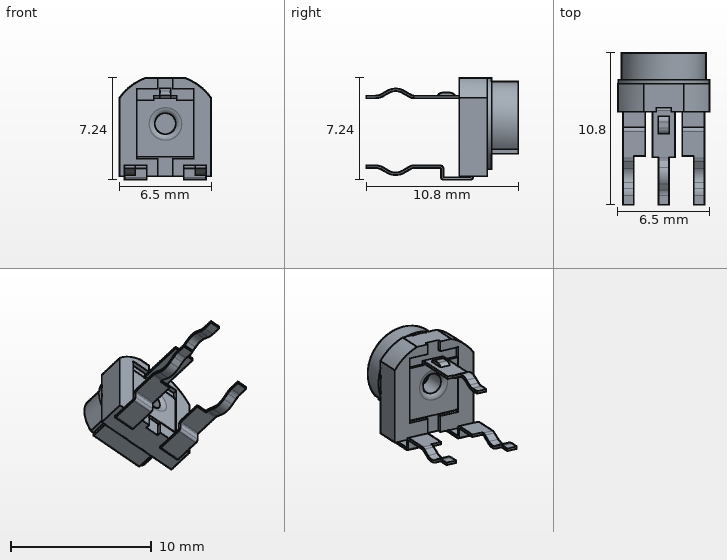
import cadquery as cq
import math


HOUSING_WIDTH = 6.5
HOUSING_DEPTH = 2.0
HOUSING_TOP = HOUSING_WIDTH / 2
HOUSING_BOTTOM = -3.74
SHOULDER_RADIUS = 4.0
SHOULDER_CENTRE_Z = -0.49
RECESS_WIDTH = 4.02
RECESS_HEIGHT = 4.99
RECESS_DEPTH = 0.3
SLOT_WIDTH = 1.04

DISK_RADIUS = HOUSING_WIDTH / 2
DISK_THICKNESS = 0.3
KNOB_RADIUS = 3.0
KNOB_LENGTH = 1.9
KNOB_FLAT_Z = -1.81
KNOB_KEY_Z = -2.14
KNOB_KEY_WIDTH = 4.28

SHEET = 0.19
TERMINAL_WIDTH = 1.61
TIP_Y = -6.6
WAVE_START_Y = -3.24
WAVE_SLOPE = 30
WAVE_SLANT = 0.6
WAVE_ENTRY_RADIUS = 0.3
WAVE_CREST_RADIUS = 0.99
WAVE_EXIT_RADIUS = 0.8

WIPER_PLATE_TOP = 1.66
WIPER_PLATE_BOTTOM = -2.35
WIPER_TONGUE_TOP = 2.0
WIPER_SHOULDER_Y = -3.22
WIPER_LEG_WIDTH = 0.77
EYELET_MOUTH_RADIUS = 1.16
EYELET_BORE_RADIUS = 0.75
BUMP_BACK_Y = -0.29
BUMP_LENGTH = 1.24
BUMP_FLAT_LENGTH = 0.43
BUMP_HEIGHT = 0.22

SIDE_OUTER_X = 2.9
SIDE_LEG_WIDTH = 0.79
SIDE_SHOULDER_Y = -3.13
SIDE_HOOK_BACK_Y = 0.99
SIDE_RISER_FRONT_Y = -1.3
SIDE_BOTTOM = -3.99
SIDE_TOP = -2.96
SIDE_TOP_BEND_RADIUS = 0.06


def block(x_range, y_range, z_range):
    """Box between two values on each axis."""
    size = [high - low for low, high in (x_range, y_range, z_range)]
    corner = (x_range[0], y_range[0], z_range[0])
    return cq.Workplane().box(*size, centered=False).translate(corner)


def rod(radius, y_start, length):
    """Cylinder about the Y axis, running from y_start towards +Y."""
    return cq.Workplane("XZ", origin=(0, y_start, 0)).circle(radius).extrude(-length)


def go(length):
    """Straight stretch of a bent sheet."""
    return ("go", length, 0)


def turn(angle, inner_radius=0.0):
    """Bend of a sheet; a positive angle turns from +Y towards +Z."""
    return ("turn", inner_radius, angle)


def bent_sheet(start, heading, moves, width):
    """Sheet of thickness SHEET whose centre line follows the moves in the YZ plane.

    start is the first (y, z) point of the centre line, heading its direction in degrees
    from +Y towards +Z. The sheet spans the width symmetrically about x = 0.
    """
    half = SHEET / 2
    centre = cq.Vector(-width / 2, *start)
    left_edges = []
    right_edges = []

    def step(point, angle, distance):
        direction = math.radians(angle)
        return point + cq.Vector(0, math.cos(direction), math.sin(direction)) * distance

    def end_edge():
        return cq.Edge.makeLine(step(centre, heading + 90, half), step(centre, heading - 90, half))

    start_edge = end_edge()
    for kind, size, angle in moves:
        if kind == "go":
            end = step(centre, heading, size)
            for edges, offset in ((left_edges, half), (right_edges, -half)):
                ends = [step(point, heading + 90, offset) for point in (centre, end)]
                edges.append(cq.Edge.makeLine(*ends))
            centre = end
        else:
            pivot_offset = math.copysign(size + half, angle)
            pivot = step(centre, heading + 90, pivot_offset)
            arc_headings = [heading + angle * part for part in (0, 0.5, 1)]
            for edges, offset in ((left_edges, half), (right_edges, -half)):
                reach = offset - pivot_offset
                if not math.isclose(reach, 0, abs_tol=1.08e-07):
                    arc = [step(pivot, value + 90, reach) for value in arc_headings]
                    edges.append(cq.Edge.makeThreePointArc(*arc))
            heading += angle
            centre = step(pivot, heading + 90, -pivot_offset)
    outline = cq.Wire.assembleEdges([start_edge, *left_edges, end_edge(), *right_edges[::-1]])
    return cq.Workplane(cq.Solid.extrudeLinear(outline, [], cq.Vector(width, 0, 0)))


def wave(side):
    """Moves of the snap-in wave from WAVE_START_Y to the tip; side +1 is up, -1 down."""
    slope = math.radians(WAVE_SLOPE)
    rise_per_radius = 1 - math.cos(slope)
    radius_growth = WAVE_EXIT_RADIUS - WAVE_ENTRY_RADIUS
    return_slant = WAVE_SLANT - radius_growth * rise_per_radius / math.sin(slope)
    bend_radii = WAVE_ENTRY_RADIUS + 2 * WAVE_CREST_RADIUS + WAVE_EXIT_RADIUS + 2 * SHEET
    wave_length = bend_radii * math.sin(slope) + (WAVE_SLANT + return_slant) * math.cos(slope)
    return [
        turn(-side * WAVE_SLOPE, WAVE_ENTRY_RADIUS),
        go(WAVE_SLANT),
        turn(2 * side * WAVE_SLOPE, WAVE_CREST_RADIUS),
        go(return_slant),
        turn(-side * WAVE_SLOPE, WAVE_EXIT_RADIUS),
        go(WAVE_START_Y - TIP_Y - wave_length),
    ]


def make_housing():
    half_width = HOUSING_WIDTH / 2

    def shoulder_x(z):
        return math.sqrt(SHOULDER_RADIUS**2 - (z - SHOULDER_CENTRE_Z) ** 2)

    shoulder_z = SHOULDER_CENTRE_Z + math.sqrt(SHOULDER_RADIUS**2 - half_width**2)
    middle_z = (shoulder_z + HOUSING_TOP) / 2
    middle_x = shoulder_x(middle_z)
    top_x = shoulder_x(HOUSING_TOP)
    body = (
        cq.Workplane("XZ")
        .moveTo(-half_width, HOUSING_BOTTOM)
        .lineTo(half_width, HOUSING_BOTTOM)
        .lineTo(half_width, shoulder_z)
        .threePointArc((middle_x, middle_z), (top_x, HOUSING_TOP))
        .lineTo(-top_x, HOUSING_TOP)
        .threePointArc((-middle_x, middle_z), (-half_width, shoulder_z))
        .close()
        .extrude(-HOUSING_DEPTH)
    )
    half_recess = RECESS_WIDTH / 2
    half_slot = SLOT_WIDTH / 2
    depth = (0, RECESS_DEPTH)
    recess = block((-half_recess, half_recess), depth, (-RECESS_HEIGHT / 2, RECESS_HEIGHT / 2))
    slot = block((-half_slot, half_slot), depth, (HOUSING_BOTTOM, HOUSING_TOP))
    bore = rod(EYELET_BORE_RADIUS, 0, HOUSING_DEPTH)
    return body.cut(recess).cut(slot).cut(bore)


def make_rotor():
    knob_start = HOUSING_DEPTH + DISK_THICKNESS
    knob_end = knob_start + KNOB_LENGTH
    disk = rod(DISK_RADIUS, HOUSING_DEPTH, DISK_THICKNESS)
    below_flat = block(
        (-KNOB_RADIUS, KNOB_RADIUS), (knob_start, knob_end), (-KNOB_RADIUS, KNOB_FLAT_Z)
    )
    knob = rod(KNOB_RADIUS, knob_start, KNOB_LENGTH).cut(below_flat)
    half_key = KNOB_KEY_WIDTH / 2
    key = block((-half_key, half_key), (knob_start, knob_end), (KNOB_KEY_Z, KNOB_FLAT_Z))
    return disk.union(knob).union(key)


def make_eyelet_hole(plate_front):
    """Flared hole through the wiper plate, narrowing to the housing bore."""
    flare_width = EYELET_MOUTH_RADIUS - EYELET_BORE_RADIUS
    plate_back = plate_front + SHEET
    flare_radius = (flare_width**2 + SHEET**2) / (2 * SHEET)
    half_angle = math.atan(SHEET / flare_width)
    middle_x = EYELET_MOUTH_RADIUS - flare_radius * math.sin(half_angle)
    middle_y = plate_front + flare_radius * (1 - math.cos(half_angle))
    return (
        cq.Workplane("XY")
        .moveTo(0, plate_front)
        .lineTo(EYELET_MOUTH_RADIUS, plate_front)
        .threePointArc((middle_x, middle_y), (EYELET_BORE_RADIUS, plate_back))
        .lineTo(0, plate_back)
        .close()
        .revolve(360, (0, 0), (0, 1))
    )


def make_bump():
    """Raised stop on the wiper tongue, with a rounded ramp at each end."""
    ramp = (BUMP_LENGTH - BUMP_FLAT_LENGTH) / 2
    ramp_radius = (ramp**2 + BUMP_HEIGHT**2) / (2 * BUMP_HEIGHT)
    half_angle = math.atan(BUMP_HEIGHT / ramp)
    middle_run = ramp_radius * math.sin(half_angle)
    top_z = WIPER_TONGUE_TOP + BUMP_HEIGHT
    middle_z = top_z - ramp_radius * (1 - math.cos(half_angle))
    front_y = BUMP_BACK_Y - BUMP_LENGTH
    flat_back_y = BUMP_BACK_Y - ramp
    flat_front_y = front_y + ramp
    return (
        cq.Workplane("YZ")
        .moveTo(BUMP_BACK_Y, WIPER_TONGUE_TOP)
        .threePointArc((flat_back_y + middle_run, middle_z), (flat_back_y, top_z))
        .lineTo(flat_front_y, top_z)
        .threePointArc((flat_front_y - middle_run, middle_z), (front_y, WIPER_TONGUE_TOP))
        .close()
        .extrude(WIPER_LEG_WIDTH / 2, both=True)
    )


def make_wiper_terminal():
    plate_front = RECESS_DEPTH - SHEET
    moves = [
        go(WIPER_TONGUE_TOP - SHEET - WIPER_PLATE_BOTTOM),
        turn(90),
        go(plate_front - WAVE_START_Y),
        *wave(+1),
    ]
    start = (plate_front + SHEET / 2, WIPER_PLATE_BOTTOM)
    strip = bent_sheet(start, 90, moves, TERMINAL_WIDTH)
    half_leg = WIPER_LEG_WIDTH / 2
    for inner, outer in ((half_leg, TERMINAL_WIDTH), (-TERMINAL_WIDTH, -half_leg)):
        strip = strip.cut(
            block((inner, outer), (TIP_Y, WIPER_SHOULDER_Y), (HOUSING_BOTTOM, HOUSING_TOP))
        )
    plate = block(
        (-RECESS_WIDTH / 2, RECESS_WIDTH / 2),
        (plate_front, RECESS_DEPTH),
        (WIPER_PLATE_BOTTOM, WIPER_PLATE_TOP),
    )
    return strip.union(plate).union(make_bump()).cut(make_eyelet_hole(plate_front))


def make_side_terminal(side):
    """Terminal under the housing; side is +1 for +X and -1 for -X."""
    half = SHEET / 2
    riser_bottom = SIDE_BOTTOM + SHEET
    top_bend_start = SIDE_TOP - SHEET - SIDE_TOP_BEND_RADIUS
    foot_length = SIDE_HOOK_BACK_Y - SIDE_RISER_FRONT_Y - 2 * SHEET
    top_start_y = SIDE_RISER_FRONT_Y - SIDE_TOP_BEND_RADIUS
    moves = [
        go(HOUSING_BOTTOM - riser_bottom),
        turn(-90),
        go(foot_length),
        turn(-90),
        go(top_bend_start - riser_bottom),
        turn(90, SIDE_TOP_BEND_RADIUS),
        go(top_start_y - WAVE_START_Y),
        *wave(-1),
    ]
    strip = bent_sheet((SIDE_HOOK_BACK_Y - half, HOUSING_BOTTOM), -90, moves, TERMINAL_WIDTH)
    centre_x = SIDE_OUTER_X - TERMINAL_WIDTH / 2
    strip = strip.translate((side * centre_x, 0, 0))
    leg_edges = sorted((0, side * (SIDE_OUTER_X - SIDE_LEG_WIDTH)))
    beside_leg = block(leg_edges, (TIP_Y, SIDE_SHOULDER_Y), (SIDE_BOTTOM, 0))
    return strip.cut(beside_leg)


housing = make_housing()
rotor = make_rotor()
wiper_terminal = make_wiper_terminal()
side_terminals = [make_side_terminal(side) for side in (-1, 1)]

result = cq.Compound.makeCompound(
    [
        housing.val(),
        rotor.val(),
        wiper_terminal.val(),
        *[terminal.val() for terminal in side_terminals],
    ]
)